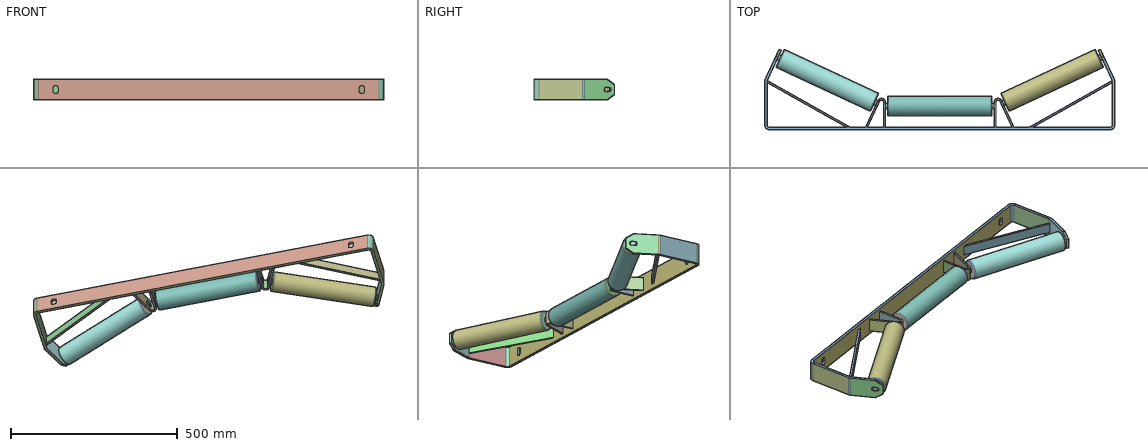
import cadquery as cq
import math


frame_length = 1050.0
strip_height = 62.0
frame_thickness = 8.0
frame_bend_radius = 15.0
tilt = math.radians(25)
overall_depth = 242.0
bend_y = 149.0
arm_length = (overall_depth - bend_y) / math.cos(tilt)
tip_height = 32.0
tip_taper_length = 23.0

mount_slot_x = 459.0
mount_slot_width = 16.0
mount_slot_length = 24.0

roller_diameter = 60.0
roller_length = 313.0
roller_edge_radius = 3.0
roller_gap = 6.0
axle_diameter = 18.0
axle_flat_width = 12.0
axle_to_tip = 23.0
middle_axis_y = 71.0

axle_slot_length = 22.0
axle_slot_width = 13.0

plate_thickness = 6.0
bracket_height = 40.0
bracket_bend_radius = 2 * plate_thickness
brace_height = 30.0
brace_top_y = 148.0
brace_foot_x = 268.0

x_axis = cq.Vector(1, 0, 0)
z_axis = cq.Vector(0, 0, 1)
arm_direction = cq.Vector(-math.sin(tilt), math.cos(tilt), 0)
inward = cq.Vector(-math.cos(tilt), -math.sin(tilt), 0)

half_length = frame_length / 2
outer_bend = cq.Vector(half_length, bend_y, 0)
axle_on_arm = outer_bend + arm_direction * (arm_length - axle_to_tip)
arm_to_roller_middle = frame_thickness + roller_gap + roller_length / 2
side_roller_middle = axle_on_arm + inward * arm_to_roller_middle
middle_roller_middle = cq.Vector(0, middle_axis_y, 0)
bracket_offset = roller_length / 2 + roller_gap


def mirrored(body):
    """The left-hand twin of a right-hand body."""
    return body.mirror("YZ")


def bent_strip(points, thickness, height, bend_radius):
    """Strip along a centre line, its bends rounded to bend_radius on the outside."""
    line = cq.Wire.makePolygon(points)
    bends = line.Vertices()[1:-1]
    path = line.fillet(bend_radius - thickness / 2, bends)
    start = cq.Plane(points[0], xDir=z_axis, normal=points[1] - points[0])
    return cq.Workplane(start).rect(height, thickness).sweep(path)


def axle_slot(center, axis, length):
    """Cutter for a slot crossing a plate along the axle axis, long in the XY plane."""
    plane = cq.Plane(center - axis * (length / 2), xDir=axis.cross(z_axis), normal=axis)
    return cq.Workplane(plane).slot2D(axle_slot_length, axle_slot_width).extrude(length)


def tip_taper():
    """Cutters for the two sloping corners at the tip of the right-hand arm."""
    plane = cq.Plane(outer_bend, xDir=arm_direction, normal=inward)
    edge = strip_height / 2
    cutters = cq.Workplane(plane)
    for side in (1, -1):
        corner = [
            (arm_length - tip_taper_length, side * edge),
            (arm_length, side * edge),
            (arm_length, side * tip_height / 2),
        ]
        cutters = cutters.add(cq.Workplane(plane).polyline(corner).close().extrude(frame_thickness))
    return cutters.combine()


def make_frame():
    half = frame_thickness / 2
    side_x = half_length - half
    bend_center_y = bend_y - half * math.tan(tilt / 2)
    tip = outer_bend + arm_direction * arm_length + inward * half
    right_side = [cq.Vector(side_x, half, 0), cq.Vector(side_x, bend_center_y, 0), tip]
    left_side = [cq.Vector(-point.x, point.y, 0) for point in right_side]
    frame = bent_strip(left_side[::-1] + right_side, frame_thickness, strip_height, frame_bend_radius)

    taper = tip_taper()
    slot = axle_slot(axle_on_arm, inward, 4 * frame_thickness)
    frame = frame.cut(taper).cut(mirrored(taper)).cut(slot).cut(mirrored(slot))

    mount_slots = (
        cq.Workplane("XZ")
        .pushPoints([(-mount_slot_x, 0), (mount_slot_x, 0)])
        .slot2D(mount_slot_length, mount_slot_width, 90)
        .extrude(-frame_thickness)
    )
    return frame.cut(mount_slots)


def make_roller(center, axis):
    """Roller with its axle; flats on the axle ends fit the slots in the plates."""

    def rod(diameter, length):
        plane = cq.Plane(center - axis * (length / 2), xDir=z_axis, normal=axis)
        return cq.Workplane(plane).circle(diameter / 2).extrude(length)

    shell = rod(roller_diameter, roller_length).edges("%CIRCLE").fillet(roller_edge_radius)
    axle = rod(axle_diameter, 2 * bracket_offset)
    axle_end_length = 2 * (bracket_offset + plate_thickness)
    flats = cq.Workplane(cq.Plane(center, xDir=z_axis, normal=axis))
    flats = flats.rect(axle_flat_width, axle_diameter).extrude(axle_end_length / 2, both=True)
    return shell.union(axle).union(rod(axle_diameter, axle_end_length).intersect(flats))


def make_bracket():
    """Right-hand bracket: an upright leg and a tilted leg joined by a round top."""
    half = plate_thickness / 2
    upright_axle = middle_roller_middle + x_axis * (bracket_offset + half)
    tilted_axle = side_roller_middle + inward * (bracket_offset + half)

    upright_x = upright_axle.x
    apex_y = tilted_axle.y + (tilted_axle.x - upright_x) / math.tan(tilt)
    foot_x = tilted_axle.x + tilted_axle.y * math.tan(tilt)
    points = [cq.Vector(upright_x, 0, 0), cq.Vector(upright_x, apex_y, 0), cq.Vector(foot_x, 0, 0)]
    bracket = bent_strip(points, plate_thickness, bracket_height, bracket_bend_radius)

    below_base = cq.Workplane("XY").box(frame_length, 2 * frame_thickness, strip_height)
    bracket = bracket.cut(below_base)

    slot_depth = 2 * plate_thickness
    bracket = bracket.cut(axle_slot(upright_axle, x_axis, slot_depth))
    return bracket.cut(axle_slot(tilted_axle, inward, slot_depth))


def make_brace(frame):
    """Right-hand brace: a flat bar from the base up to the bend, ending on the frame."""
    wall_x = half_length - frame_thickness
    slope = math.atan2(brace_top_y - frame_thickness, wall_x - brace_foot_x)
    end_x = half_length - frame_thickness / 2
    end_y = frame_thickness + (end_x - brace_foot_x) * math.tan(slope)
    outline = [
        (end_x, end_y),
        (brace_foot_x, frame_thickness),
        (brace_foot_x + plate_thickness / math.sin(slope), frame_thickness),
        (end_x, end_y - plate_thickness / math.cos(slope)),
    ]
    bar = cq.Workplane("XY").polyline(outline).close().extrude(brace_height / 2, both=True)
    return bar.cut(frame)


frame = make_frame()
middle_roller = make_roller(middle_roller_middle, x_axis)

paired_bodies = []
for body in (make_roller(side_roller_middle, inward), make_bracket(), make_brace(frame)):
    paired_bodies += [body.val(), mirrored(body).val()]

result = cq.Compound.makeCompound([frame.val(), middle_roller.val(), *paired_bodies])